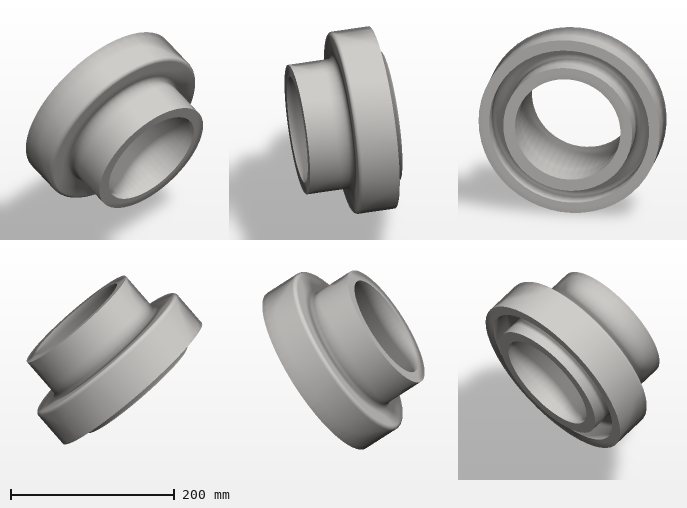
import cadquery as cq

total_length = 115.0
flange_start = 10.0
flange_end = 60.0
web_thickness = 22.5
groove_floor = flange_end - web_thickness

flange_diameter = 225.0
groove_outer_diameter = 198.2
hub_diameter = 160.0
bore_diameter = 130.7

fillet_radius = 4.5

edge_tolerance = 0.2


def ring(start, end, outer_diameter, inner_diameter):
    """Ring centred on the X axis, from start to end along X."""
    return (
        cq.Workplane("YZ", origin=(start, 0, 0))
        .circle(outer_diameter / 2)
        .circle(inner_diameter / 2)
        .extrude(end - start)
    )


def fillet_circle(body, x, diameter):
    """Round the circular edge of the given diameter at position x."""
    reach = diameter / 2 + edge_tolerance
    edge_zone = cq.selectors.BoxSelector(
        (x - edge_tolerance, -reach, -reach),
        (x + edge_tolerance, reach, reach),
        boundingbox=True,
    )
    largest_circle = cq.selectors.RadiusNthSelector(-1)
    return body.edges(edge_zone).edges(largest_circle).fillet(fillet_radius)


hub = ring(0, total_length, hub_diameter, bore_diameter)
flange = ring(flange_start, flange_end, flange_diameter, bore_diameter)
body = hub.union(flange)

groove = ring(flange_start, groove_floor, groove_outer_diameter, hub_diameter)
body = body.cut(groove)

rounded_edges = [
    (flange_end, flange_diameter),
    (flange_end, hub_diameter),
    (groove_floor, groove_outer_diameter),
    (groove_floor, hub_diameter),
]
for x, diameter in rounded_edges:
    body = fillet_circle(body, x, diameter)

result = body